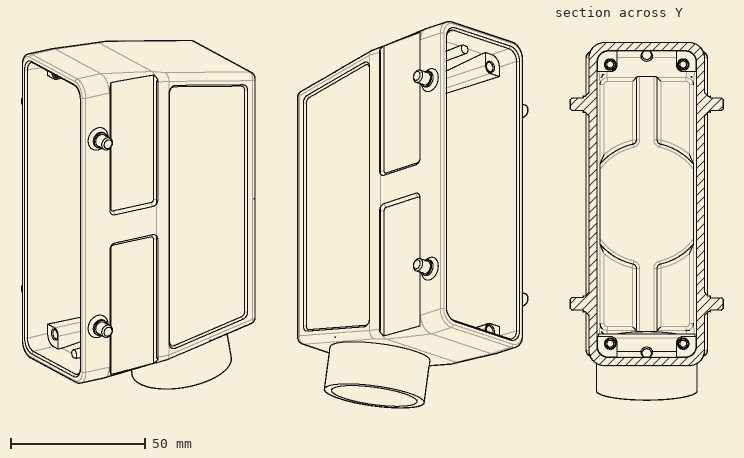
import cadquery as cq
import math


depth = 76.0
rim_half_x = 21.5
rim_half_z = 60.1
rim_corner = 5.9
rim_round = 0.9
back_half_x = 22.6
back_corner = 2.7
back_edge_round = 2.3
rim_end_y = 11.3
waist_y = 32.2
waist_half_z = 57.7
waist_corner = 3.2
back_start_y = 37.0
end_tilt = 10.7
end_slope = math.tan(math.radians(end_tilt))

mouth_wall = 3.0
mouth_chamfer = 0.8
end_wall = 3.3
floor_wall = 3.3
mouth_half_x = rim_half_x - mouth_wall
floor_half_x = 17.3
mouth_half_z = rim_half_z - mouth_wall
mouth_corner = 4.0
floor_corner = 2.7
floor_round = 1.5
floor_y = depth - floor_wall

pad_height = 3.3
pad_radius = 22.9
bar_half_x = 3.9
pad_joint_round = 1.6
pad_top_round = 1.2
joint_reach_x = 6.7
joint_reach_z = 26.6

block_front_y = 28.6
block_inner_z = 48.3
block_round = 1.5

boss_front_y = 9.6
boss_inner_x = 11.0
boss_inner_z = 49.2
boss_round = 2.5
screw_x = 13.6
screw_z = 51.9
screw_diameter = 3.5
screw_tip_diameter = 2.5
screw_depth = 12.0
screw_mouth_chamfer = 0.4
post_z = 55.5
post_front_diameter = 3.5
post_back_diameter = 4.8
post_length = 21.3

grip_depth = 1.2
grip_front_y = 11.6
grip_back_y = 32.7
grip_inner_z = 5.6
grip_corner = 1.0
label_depth = 0.8
label_front_y = 37.8
label_back_y = 70.8
label_margin = 5.0
label_corner = 1.7
recess_reach = 1.2

pin_reach = 28.5
pin_y = 6.4
pin_z = 37.1
pin_diameter = 4.8
pin_tip_chamfer = 0.7
pin_collar_diameter = 6.0
pin_foot_diameter = 8.8
pin_collar_x = 23.7
pin_foot_top_x = 22.9

entry_diameter = 37.5
entry_bore = 32.0
entry_end_y = 57.0
entry_end_z = -69.5
entry_length = 18.0


def end_half_z(y):
    """Half height of the tilted back part of the housing."""
    return waist_half_z - (y - waist_y) * end_slope


def xz_plane(y):
    """Plane across the hood at depth y; local axes are X and -Z, normal +Y."""
    return cq.Workplane(cq.Plane(origin=(0, y, 0), xDir=(1, 0, 0), normal=(0, 1, 0)))


def stacked_loft(sections):
    """Join straight-sided stages between consecutive rounded rectangles."""
    wires = []
    for y, half_x, half_z, corner in sections:
        outline = xz_plane(y).rect(2 * half_x, 2 * half_z).extrude(1.3).edges("|Y").fillet(corner)
        wires.append(outline.faces("<Y").wires().val())
    body = None
    for near, far in zip(wires, wires[1:]):
        stage = cq.Workplane(cq.Solid.makeLoft([near, far], True))
        body = stage if body is None else body.union(stage)
    return body


def make_housing():
    housing = stacked_loft([
        (0, rim_half_x, rim_half_z, rim_corner),
        (rim_end_y, rim_half_x, rim_half_z, rim_corner),
        (waist_y, rim_half_x, waist_half_z, waist_corner),
        (back_start_y, back_half_x, end_half_z(back_start_y), back_corner),
        (depth, back_half_x, end_half_z(depth), back_corner),
    ])
    housing = housing.faces(">Y").edges().fillet(back_edge_round)
    return housing.faces("<Y").edges().fillet(rim_round)


def make_pad():
    """Disc with a bar through it, standing on the cavity floor."""
    top_y = floor_y - pad_height
    disc = xz_plane(top_y).circle(pad_radius).extrude(pad_height + 1.3)
    bar = xz_plane(top_y).rect(2 * bar_half_x, 2 * rim_half_z).extrude(pad_height + 1.3)
    joints = cq.selectors.BoxSelector(
        (-joint_reach_x, top_y - 1.3, -joint_reach_z), (joint_reach_x, depth, joint_reach_z))
    pad = disc.union(bar).edges(joints).edges("|Y").fillet(pad_joint_round)
    return pad.faces("<Y").edges().fillet(pad_top_round)


def make_block():
    """Block across the lower end of the cavity that thickens the wall for the bore."""
    return (
        xz_plane(block_front_y)
        .center(0, (block_inner_z + rim_half_z) / 2)
        .rect(2 * rim_half_x, rim_half_z - block_inner_z)
        .extrude(depth - block_front_y)
    )


def cavity_half_x(y):
    """Half width of the cavity, drafted evenly from the mouth to the floor."""
    draft = (mouth_half_x - floor_half_x) / (floor_y - mouth_chamfer)
    return mouth_half_x - (y - mouth_chamfer) * draft


def make_cavity():
    cavity = stacked_loft([
        (0, mouth_half_x + mouth_chamfer, mouth_half_z + mouth_chamfer, mouth_corner + mouth_chamfer),
        (mouth_chamfer, mouth_half_x, mouth_half_z, mouth_corner),
        (rim_end_y, cavity_half_x(rim_end_y), rim_half_z - end_wall, mouth_corner),
        (waist_y, cavity_half_x(waist_y), waist_half_z - end_wall, floor_corner),
        (floor_y, floor_half_x, end_half_z(floor_y) - end_wall, floor_corner),
    ])
    cavity = cavity.cut(make_pad()).cut(make_block())
    cavity = cavity.faces(">Y").edges().fillet(floor_round)
    block_nose = cq.selectors.NearestToPointSelector((0, block_front_y, -block_inner_z))
    return cavity.edges(block_nose).fillet(block_round)


def make_boss(side, end):
    """Rounded corner column in the cavity, with a tapered screw hole."""
    length = floor_y - boss_front_y
    inner_edge = (side * boss_inner_x, boss_front_y + length / 2, end * boss_inner_z)
    column = (
        xz_plane(boss_front_y)
        .center(side * (boss_inner_x + rim_half_x) / 2, -end * (boss_inner_z + rim_half_z) / 2)
        .rect(rim_half_x - boss_inner_x, rim_half_z - boss_inner_z)
        .extrude(length)
        .edges(cq.selectors.NearestToPointSelector(inner_edge))
        .fillet(boss_round)
    )
    hole = (
        cq.Workplane("XY")
        .polyline([
            (0, boss_front_y),
            (screw_diameter / 2 + screw_mouth_chamfer, boss_front_y),
            (screw_diameter / 2, boss_front_y + screw_mouth_chamfer),
            (screw_tip_diameter / 2, boss_front_y + screw_depth),
            (0, boss_front_y + screw_depth),
        ])
        .close()
        .revolve(360, (0, 0, 0), (0, 1, 0))
        .translate((side * screw_x, 0, end * screw_z))
    )
    return column.cut(hole)


def make_post(end):
    """Drafted round key post running back along the end wall."""
    post = cq.Solid.makeCone(post_front_diameter / 2, post_back_diameter / 2, post_length,
                             cq.Vector(0, boss_front_y, end * post_z), cq.Vector(0, 1, 0))
    return cq.Workplane(post)


def side_plane(side, x):
    """Plane at half width x on one side; local axes are Y and side * Z, normal outward."""
    return cq.Workplane(cq.Plane((side * x, 0, 0), (0, 1, 0), (side, 0, 0)))


def sloping_recess(side, x, corners, corner_round):
    """Cutter whose rounded floor outline at half width x widens outward at 45 degrees."""
    outline = cq.Sketch().polygon(corners + corners[:1]).vertices().fillet(corner_round)
    return side_plane(side, x).placeSketch(outline).extrude(recess_reach, taper=-45)


def make_grip_recess(side, end):
    """Shallow panel on the front part, open at the end of the housing."""
    front_y = grip_front_y + grip_depth
    back_y = grip_back_y - grip_depth
    inner_z = side * end * (grip_inner_z + grip_depth)
    open_end_z = side * end * (rim_half_z + grip_depth)
    corners = [(front_y, inner_z), (back_y, inner_z), (back_y, open_end_z), (front_y, open_end_z)]
    return sloping_recess(side, rim_half_x - grip_depth, corners, grip_corner)


def make_label_recess(side):
    """Shallow panel on the back part, parallel to its tilted ends."""
    front_z = end_half_z(label_front_y) - label_margin
    back_z = end_half_z(label_back_y) - label_margin
    corners = [(label_front_y, -front_z), (label_back_y, -back_z),
               (label_back_y, back_z), (label_front_y, front_z)]
    return sloping_recess(side, back_half_x - label_depth, corners, label_corner)


def make_pin(side, end):
    """Locking pin with a chamfered tip and a flared foot on the rim wall."""
    root_x = rim_half_x - mouth_wall / 2
    return (
        cq.Workplane("XY")
        .polyline([
            (root_x, 0),
            (root_x, pin_foot_diameter / 2),
            (rim_half_x, pin_foot_diameter / 2),
            (pin_foot_top_x, pin_collar_diameter / 2),
            (pin_collar_x, pin_collar_diameter / 2),
            (pin_collar_x, pin_diameter / 2),
            (pin_reach - pin_tip_chamfer, pin_diameter / 2),
            (pin_reach, pin_diameter / 2 - pin_tip_chamfer),
            (pin_reach, 0),
        ])
        .close()
        .revolve(360, (0, 0, 0), (1, 0, 0))
        .rotate((0, 0, 0), (0, 0, 1), 0 if side > 0 else 180)
        .translate((0, pin_y, end * pin_z))
    )


def make_entry(diameter, length):
    """Cylinder running from the outer end of the cable entry into the housing."""
    tilt = math.radians(end_tilt)
    inward = cq.Vector(0, -math.sin(tilt), math.cos(tilt))
    outer_end = cq.Vector(0, entry_end_y, entry_end_z)
    return cq.Workplane(cq.Solid.makeCylinder(diameter / 2, length, outer_end, inward))


housing = make_housing().union(make_entry(entry_diameter, entry_length))
cavity = make_cavity()

for side in (-1, 1):
    housing = housing.cut(make_label_recess(side))
    for end in (-1, 1):
        housing = housing.cut(make_grip_recess(side, end))
        housing = housing.union(make_pin(side, end))
        cavity = cavity.cut(make_boss(side, end))

for end in (-1, 1):
    cavity = cavity.cut(make_post(end))

bore_length = entry_length + end_wall + block_inner_z
result = housing.cut(cavity).cut(make_entry(entry_bore, bore_length))